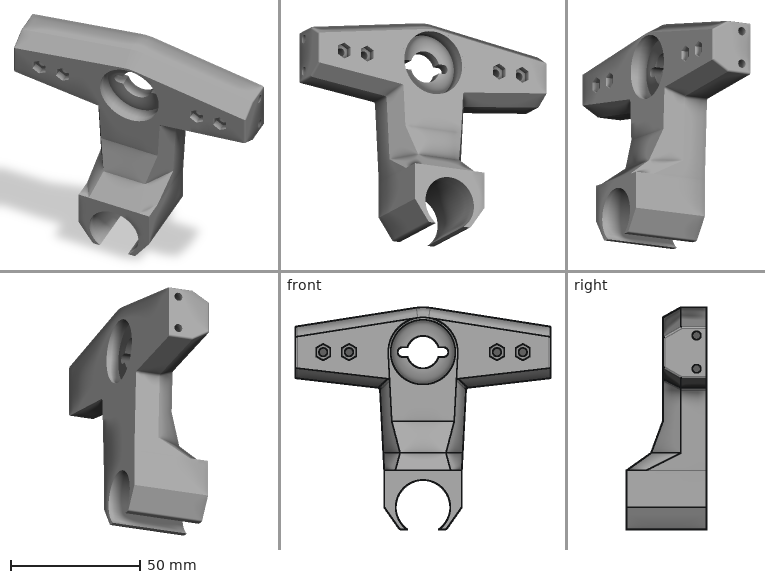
import cadquery as cq
import math


bar_length = 99.0
bar_depth = 16.9
bevel_start = 9.9
bevel_inset = 4.0
bevel_slope = bevel_inset / (bar_depth - bevel_start)
bevel_angle = math.degrees(math.atan(bevel_slope))

hub_radius = 17.4
bar_top_angle = math.radians(8.9)
bar_end_bottom = -10.1
bar_middle_bottom = -15.8
end_rounding = 0.8
corner_fillet = 0.9
corner_zone_margin = 1.0

screw_hole_diameter = 3.3
nut_flats = 5.5
nut_depth = 3.0
nut_screw_depth = 9.9
nut_places = (-38.6, -28.6, 28.6, 38.6)
end_hole_depth = 9.9
end_hole_height = 6.4
end_hole_setback = 3.9

bore_diameter = 25.0
back_recess_depth = 4.95
key_floor_thickness = 4.95
bore_depth = bar_depth - back_recess_depth - key_floor_thickness
key_diameter = 12.5
key_slot_length = 19.5
key_slot_width = 3.7

neck_side_angle = math.radians(3.0)
neck_bend_top = -26.7
neck_bend_bottom = -39.0
neck_bend_depth = 21.5

clamp_top = -45.7
clamp_bottom = -68.6
clamp_depth = 31.0
clamp_axis_height = -60.0
clamp_bore_diameter = 21.0
clamp_toe_half_width = 9.0
clamp_toe_rounding = 1.0
shoulder_bevel_start = 23.3


def neck_half_width(height, radius=hub_radius):
    """Half width at a height of the straight neck sides, which are tangent to the hub circle."""
    return radius / math.cos(neck_side_angle) + height * math.tan(neck_side_angle)


def neck_outline(radius, bottom):
    """Front outline of hub and neck: a round top running into tangent, converging sides."""
    tangent_x = radius * math.cos(neck_side_angle)
    tangent_z = -radius * math.sin(neck_side_angle)
    bottom_x = neck_half_width(bottom, radius)
    return (
        cq.Workplane("XZ")
        .moveTo(-bottom_x, bottom)
        .lineTo(-tangent_x, tangent_z)
        .threePointArc((0, radius), (tangent_x, tangent_z))
        .lineTo(bottom_x, bottom)
        .close()
    )


def bar_outline():
    """Front outline of the crossbar, run past its ends so that trimming leaves the ends square."""
    reach = bar_length
    tangent_x = hub_radius * math.sin(bar_top_angle)
    tangent_z = hub_radius * math.cos(bar_top_angle)
    reach_top = tangent_z - (reach - tangent_x) * math.tan(bar_top_angle)
    bottom_slope = (bar_end_bottom - bar_middle_bottom) / (bar_length / 2)
    reach_bottom = bar_middle_bottom + reach * bottom_slope
    return (
        cq.Workplane("XZ")
        .moveTo(-reach, reach_bottom)
        .lineTo(-reach, reach_top)
        .lineTo(-tangent_x, tangent_z)
        .threePointArc((0, hub_radius), (tangent_x, tangent_z))
        .lineTo(reach, reach_top)
        .lineTo(reach, reach_bottom)
        .lineTo(0, bar_middle_bottom)
        .close()
    )


def beveled(outline, depth):
    """Extrude an outline forward from the back plane, leaning inward from the bevel start onward."""
    same_outline = cq.Workplane("XZ").add(outline.val()).toPending()
    leaning = same_outline.extrude(depth - bevel_start, taper=bevel_angle)
    straight = outline.extrude(bevel_start)
    return straight.union(leaning.translate((0, -bevel_start, 0)))


def make_bar_blank():
    """Beveled crossbar with square ends whose rims are rounded, except along the back."""
    ends = cq.Workplane("XY").box(bar_length, 2 * bar_depth, bar_length)
    blank = beveled(bar_outline(), bar_depth).intersect(ends)
    return blank.faces("<X or >X").edges("not >Y").fillet(end_rounding)


def make_neck_blank():
    """Beveled hub and neck above the shoulder, thickening toward the clamp."""
    side_profile = (
        cq.Workplane("YZ")
        .moveTo(0, hub_radius)
        .lineTo(-bar_depth, hub_radius)
        .lineTo(-bar_depth, neck_bend_top)
        .lineTo(-neck_bend_depth, neck_bend_bottom)
        .lineTo(0, neck_bend_bottom)
        .close()
        .extrude(hub_radius, both=True)
    )
    return beveled(neck_outline(hub_radius, 2 * clamp_bottom), neck_bend_depth).intersect(side_profile)


def neck_section(height, side_depth, front_depth):
    """Closed level section of the neck with beveled front corners."""
    side_x = neck_half_width(height)
    front_x = side_x - bevel_slope * (front_depth - side_depth)
    corners = [
        (-side_x, 0),
        (-side_x, -side_depth),
        (-front_x, -front_depth),
        (front_x, -front_depth),
        (side_x, -side_depth),
        (side_x, 0),
    ]
    return cq.Wire.makePolygon([cq.Vector(x, y, height) for x, y in corners], close=True)


def make_shoulder():
    """Flaring block that joins the neck to the clamp."""
    upper = neck_section(neck_bend_bottom, bevel_start, neck_bend_depth)
    lower = neck_section(clamp_top, shoulder_bevel_start, clamp_depth)
    return cq.Workplane(cq.Solid.makeLoft([upper, lower], True))


def make_clamp():
    """Open-bottomed clamp block with a round bore."""
    half_width = neck_half_width(clamp_top)
    block = (
        cq.Workplane("XZ")
        .moveTo(-half_width, clamp_top)
        .lineTo(half_width, clamp_top)
        .lineTo(half_width, clamp_axis_height)
        .lineTo(clamp_toe_half_width, clamp_bottom)
        .lineTo(-clamp_toe_half_width, clamp_bottom)
        .lineTo(-half_width, clamp_axis_height)
        .close()
        .extrude(clamp_depth)
    )
    clamp_axis = cq.Workplane("XZ", origin=(0, 0, clamp_axis_height))
    bore = clamp_axis.circle(clamp_bore_diameter / 2).extrude(clamp_depth)
    rounded_block = block.faces("<Z").edges("|Y").fillet(clamp_toe_rounding)
    return rounded_block.cut(bore)


def fillet_inner_corners(blank):
    """Round the corners where the underside of the crossbar runs into the neck sides."""
    inner_x = neck_half_width(bar_middle_bottom, hub_radius - bevel_inset)
    top_z = bar_middle_bottom + bevel_inset + corner_zone_margin
    bottom_z = bar_middle_bottom
    for side in (-1, 1):
        zone = cq.selectors.BoxSelector((side * inner_x, 0, bottom_z), (side * hub_radius, -bar_depth, top_z))
        blank = blank.edges(zone).fillet(corner_fillet)
    return blank


def drill_bar(bar):
    """Cut the nut pockets with their screw holes, and the pairs of holes in both ends."""
    nut_corners = nut_flats / math.cos(math.pi / 6)
    for x in nut_places:
        front = cq.Workplane("XZ", origin=(x, -bar_depth, 0))
        pocket = front.transformed(rotate=(0, 0, 90)).polygon(6, nut_corners).extrude(-nut_depth)
        screw_hole = front.circle(screw_hole_diameter / 2).extrude(-nut_screw_depth)
        bar = bar.cut(pocket).cut(screw_hole)
    for side in (-1, 1):
        for height in (-end_hole_height, end_hole_height):
            end = cq.Workplane("YZ", origin=(side * bar_length / 2, -end_hole_setback, height))
            bar = bar.cut(end.circle(screw_hole_diameter / 2).extrude(-side * end_hole_depth))
    return bar


def bore_hub(stem):
    """Cut round recesses from front and back, and the keyed opening through the floor between them."""
    bore = cq.Workplane("XZ", origin=(0, -bar_depth, 0)).circle(bore_diameter / 2).extrude(-bore_depth)
    hub_axis = cq.Workplane("XZ")
    back_recess = hub_axis.circle(bore_diameter / 2).extrude(back_recess_depth)
    round_opening = hub_axis.circle(key_diameter / 2).extrude(bar_depth)
    key_slot = hub_axis.slot2D(key_slot_length, key_slot_width).extrude(bar_depth)
    return stem.cut(bore).cut(back_recess).cut(round_opening).cut(key_slot)


bar_blank = make_bar_blank()
core = neck_outline(hub_radius - bevel_inset, neck_bend_bottom).extrude(bar_depth)

crossbar = drill_bar(bar_blank.cut(core))

joined_blank = fillet_inner_corners(bar_blank.union(make_neck_blank()))
lower_neck = joined_blank.cut(bar_blank)
stem = bore_hub(core.union(lower_neck)).union(make_shoulder()).union(make_clamp())

result = cq.Compound.makeCompound([crossbar.val(), stem.val()])